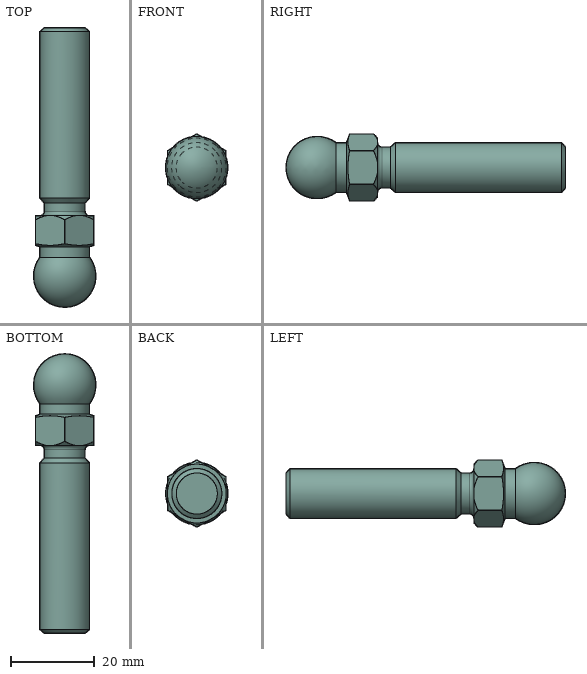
import cadquery as cq
import math


ball_radius = 7.5
collar_radius = 6.0

across_flats = 14.0
across_corners = 16.1
hex_length = 7.5
hex_sides = 6
half_facet_angle = 180 / hex_sides
corner_direction = 90
ball_side_chamfer_angle = 20.0
shank_side_chamfer = 1.0

undercut_radius = 4.925
undercut_length = 3.0
undercut_fillet = 1.0
shank_start_taper_length = 1.2

shank_radius = 6.0
shank_end_radius = undercut_radius
shank_end_chamfer_length = 0.95

overall_length = 67.0
hex_end_from_tip = 22.0

ball_collar_seam = math.sqrt(ball_radius**2 - collar_radius**2)
hex_end = hex_end_from_tip - ball_radius
hex_start = hex_end - hex_length
undercut_end = hex_end + undercut_length
shank_start = undercut_end + shank_start_taper_length
shank_end = overall_length - ball_radius


def revolve_about_y(profile):
    """Turn a closed profile drawn in the XY plane once around the Y axis."""
    return profile.close().revolve(360, (0, 0, 0), (0, 1, 0))


def make_ball_and_collar():
    profile = (
        cq.Workplane("XY")
        .moveTo(0, -ball_radius)
        .threePointArc((ball_radius, 0), (collar_radius, ball_collar_seam))
        .lineTo(collar_radius, hex_start)
        .lineTo(0, hex_start)
    )
    return revolve_about_y(profile)


def make_hexagon():
    """Hexagonal prism trimmed by a turned blank: coned ends and slightly blunted corners."""
    sharp_corner_diameter = across_flats / math.cos(math.radians(half_facet_angle))
    prism = (
        cq.Workplane("XZ", origin=(0, hex_end, 0))
        .transformed(rotate=(0, 0, corner_direction))
        .polygon(hex_sides, sharp_corner_diameter)
        .extrude(hex_length)
    )
    corner_radius = across_corners / 2
    cone_length = (corner_radius - collar_radius) * math.tan(math.radians(ball_side_chamfer_angle))
    blank = (
        cq.Workplane("XY")
        .moveTo(0, hex_start)
        .lineTo(collar_radius, hex_start)
        .lineTo(corner_radius, hex_start + cone_length)
        .lineTo(corner_radius, hex_end - shank_side_chamfer)
        .lineTo(corner_radius - shank_side_chamfer, hex_end)
        .lineTo(0, hex_end)
    )
    return prism.intersect(revolve_about_y(blank))


def make_shank():
    """Undercut with a fillet at the hexagon, tapering out to the plain shank."""
    fillet_center = (undercut_radius + undercut_fillet, hex_end + undercut_fillet)
    fillet_reach = undercut_fillet * math.sqrt(0.5)
    fillet_middle = (fillet_center[0] - fillet_reach, fillet_center[1] - fillet_reach)
    profile = (
        cq.Workplane("XY")
        .moveTo(0, hex_end)
        .lineTo(fillet_center[0], hex_end)
        .threePointArc(fillet_middle, (undercut_radius, fillet_center[1]))
        .lineTo(undercut_radius, undercut_end)
        .lineTo(shank_radius, shank_start)
        .lineTo(shank_radius, shank_end - shank_end_chamfer_length)
        .lineTo(shank_end_radius, shank_end)
        .lineTo(0, shank_end)
    )
    return revolve_about_y(profile)


result = make_ball_and_collar().union(make_hexagon()).union(make_shank())